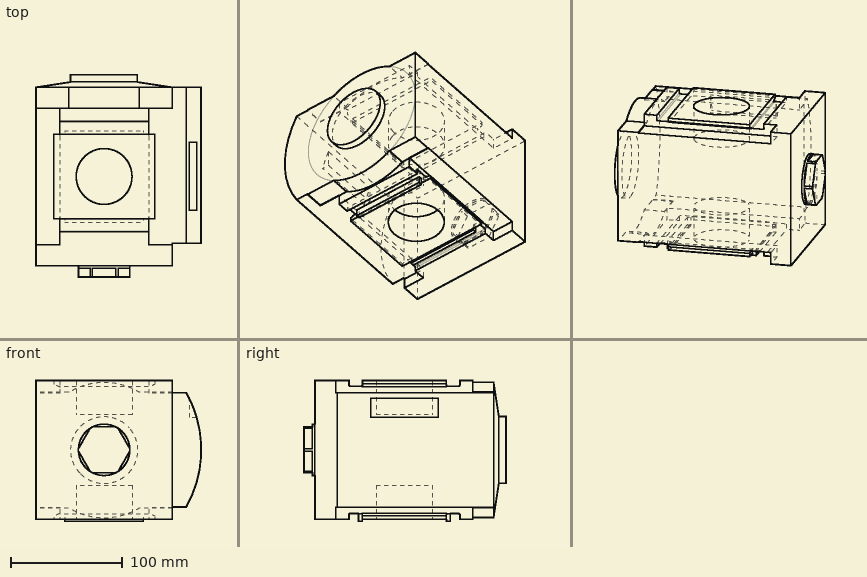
import cadquery as cq
import math


body_width = 122.2
body_height = 124.2
body_length = 141.2
front_band = 18.8
waist_height = 102.5
rail_width = 79.6

port_y = 80.0
groove_length = 99.0
groove_depth = 5.0
groove_wall_fillet = 1.0
pad_foot_fillet = 0.7
pad_width = 90.3
pad_length = 75.3
pad_edge = 3.0
pad_height = 5.6
port_diameter = 50.0
port_depth = 30.2

lip_width = 70.4
lip_thickness = 3.5
lip_projection = 1.8

plate_thickness = 18.6
plate_height = 103.5
plate_diameter = 121.3
cone_length = 4.7
boss_diameter = 60.0
boss_length = 6.5
back_axis_x = -0.2

collar_diameter = 46.0
collar_thickness = 2.2
hex_across_flats = 40.9
hex_thickness = 7.8

cover_start = 20.1
cover_edge_width = 12.3
cover_bulge = 13.5
notch_start = 50.0
notch_length = 60.5
notch_depth = 10.9
notch_floor_z = 29.3

half_width = body_width / 2
half_height = body_height / 2
plate_back = body_length + plate_thickness


def box(x_size, y_start, y_size, z_start, z_size):
    """Box centred on X = 0, starting at the given Y and Z."""
    centered = (True, False, False)
    return cq.Workplane("XY").box(x_size, y_size, z_size, centered=centered).translate((0, y_start, z_start))


def disc(diameter, y_start, length, x=0):
    """Cylinder along +Y about the axis at the given X and Z = 0."""
    plane = cq.Workplane("XZ", origin=(x, y_start, 0))
    return plane.circle(diameter / 2).extrude(-length)


def on_top_and_bottom(shape):
    return shape.union(shape.mirror("XY"))


def make_body():
    waist = box(body_width, 0, body_length, -waist_height / 2, waist_height)
    band = box(body_width, 0, front_band, -half_height, body_height)
    rail = box(rail_width, 0, body_length, -half_height, body_height)
    return waist.union(band).union(rail)


def make_top_grooves():
    """Grooves across the top rail in front of and behind the pad, rounded along the floor."""
    width = (groove_length - pad_length) / 2
    floor = half_height - groove_depth
    front = box(body_width, port_y - groove_length / 2, width, floor, groove_depth)
    front = front.edges("|X and <Z and <Y").fillet(groove_wall_fillet)
    front = front.edges("|X and >Y and <Z").fillet(pad_foot_fillet)
    back = front.mirror("XZ", (0, port_y, 0))
    return front.union(back)


def make_top_pad():
    """Pad that overhangs the rail on both sides with a sloping underside."""
    top = half_height
    foot = half_height - pad_height
    profile = [
        (-rail_width / 2, foot),
        (-pad_width / 2, top - pad_edge),
        (-pad_width / 2, top),
        (pad_width / 2, top),
        (pad_width / 2, top - pad_edge),
        (rail_width / 2, foot),
    ]
    plane = cq.Workplane("XZ", origin=(0, port_y - pad_length / 2, 0))
    return plane.polyline(profile).close().extrude(-pad_length)


def make_top_port():
    plane = cq.Workplane("XY", origin=(0, port_y, half_height))
    return plane.circle(port_diameter / 2).extrude(-port_depth)


def make_lips():
    lip_height = groove_depth + lip_projection
    bottom = -half_height - lip_projection
    front_lip = box(lip_width, port_y - pad_length / 2 - lip_thickness, lip_thickness, bottom, lip_height)
    back_lip = box(lip_width, port_y + pad_length / 2, lip_thickness, bottom, lip_height)
    return front_lip.union(back_lip)


def make_back():
    plate = box(body_width, body_length, plate_thickness, -plate_height / 2, plate_height)
    plate_disc = disc(plate_diameter, body_length, plate_thickness, back_axis_x)
    cone = (
        cq.Workplane("XZ", origin=(back_axis_x, plate_back, 0))
        .circle(plate_diameter / 2)
        .workplane(offset=-cone_length)
        .circle(boss_diameter / 2)
        .loft()
    )
    boss = disc(boss_diameter, plate_back + cone_length, boss_length, back_axis_x)
    return plate.union(plate_disc).union(cone).union(boss)


def make_plug():
    """Round collar and a hexagon head whose corners are turned down to the collar diameter."""
    hex_corners = hex_across_flats / math.cos(math.pi / 6)
    head_plane = cq.Workplane("XZ", origin=(0, -collar_thickness, 0))
    hexagon = head_plane.polygon(6, hex_corners).extrude(hex_thickness)
    turned = disc(collar_diameter, -collar_thickness - hex_thickness, hex_thickness)
    collar = disc(collar_diameter, -collar_thickness, collar_thickness)
    return collar.union(hexagon.intersect(turned))


def make_cover():
    edge_x = half_width + cover_edge_width
    crown_x = edge_x + cover_bulge
    half_cover = waist_height / 2
    cover = (
        cq.Workplane("XZ", origin=(0, cover_start, 0))
        .moveTo(half_width, -half_cover)
        .lineTo(edge_x, -half_cover)
        .threePointArc((crown_x, 0), (edge_x, half_cover))
        .lineTo(half_width, half_cover)
        .close()
        .extrude(cover_start - plate_back)
    )
    notch = (
        cq.Workplane("XY")
        .box(notch_depth, notch_length, half_cover - notch_floor_z, centered=False)
        .translate((crown_x - notch_depth, notch_start, notch_floor_z))
    )
    return cover.cut(notch)


result = (
    make_body()
    .cut(on_top_and_bottom(make_top_grooves()))
    .union(on_top_and_bottom(make_top_pad()))
    .cut(on_top_and_bottom(make_top_port()))
    .union(make_lips())
    .union(make_back())
    .union(make_plug())
    .union(make_cover())
)